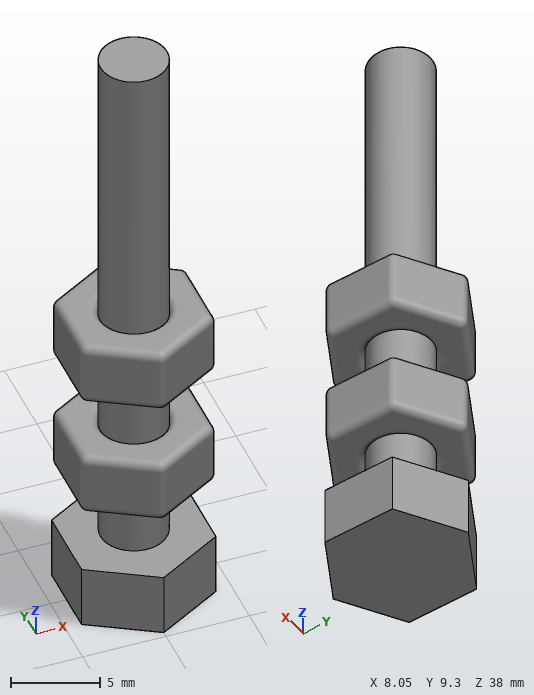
import cadquery as cq
import math

total_length = 38.0
shank_diameter = 4.0
head_across_corners = 9.3
head_height = 4.0

nut_across_flats = 7.98
nut_height = 4.0
nut_edge_radius = 0.5
bore_edge_radius = 0.5
first_nut_bottom = 8.0
nut_pitch = 7.98
nut_count = 2


def hex_prism(across_corners, height):
    """Hexagonal prism standing on Z = 0 with corners on the Y axis."""
    return (
        cq.Workplane("XY")
        .polygon(6, across_corners)
        .extrude(height)
        .rotate((0, 0, 0), (0, 0, 1), 90)
    )


def make_nut():
    """Nut with every outer edge rounded and both bore mouths rounded."""
    across_corners = nut_across_flats / math.cos(math.pi / 6)
    body = hex_prism(across_corners, nut_height).edges().fillet(nut_edge_radius)
    bored = body.faces(">Z").workplane().hole(shank_diameter)
    bore_mouths = bored.edges("%CIRCLE").edges(cq.selectors.RadiusNthSelector(-1))
    return bore_mouths.fillet(bore_edge_radius)


head = hex_prism(head_across_corners, head_height)
shank = cq.Workplane("XY").circle(shank_diameter / 2).extrude(total_length)
result = head.union(shank)

nut = make_nut()
for index in range(nut_count):
    nut_bottom = first_nut_bottom + index * nut_pitch
    result = result.union(nut.translate((0, 0, nut_bottom)))